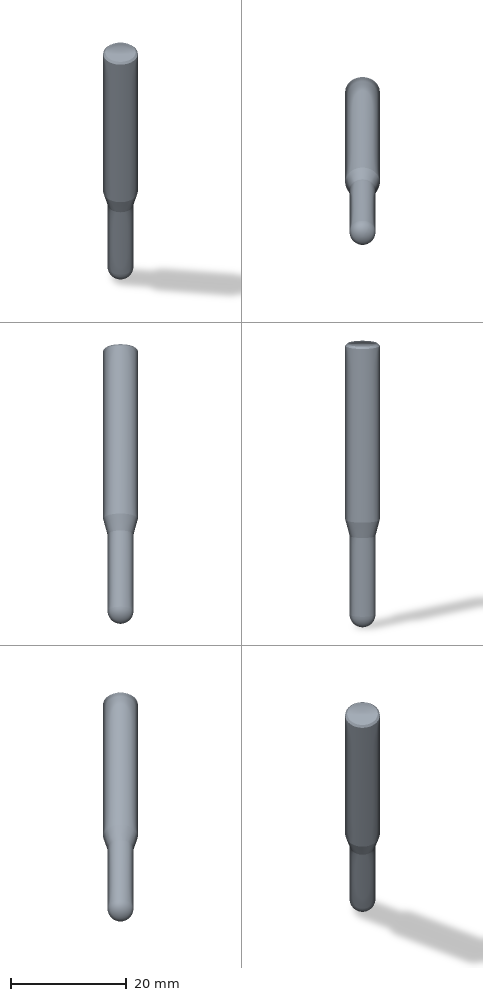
import cadquery as cq

total_length = 50.0
shank_diameter = 6.0
head_diameter = 4.5
head_length = 16.0
land_height = 0.15
taper_height = 2.85
end_chamfer = 0.35

shank_radius = shank_diameter / 2
head_radius = head_diameter / 2
taper_bottom = head_length + land_height
taper_top = taper_bottom + taper_height


def make_head():
    """Straight cylinder with a hemispherical tip at the bottom."""
    ball_height = head_radius
    ball_mid_radius = head_radius * 0.5**0.5
    return (
        cq.Workplane("XZ")
        .moveTo(0, 0)
        .threePointArc((ball_mid_radius, ball_height - ball_mid_radius), (head_radius, ball_height))
        .lineTo(head_radius, head_length)
        .lineTo(0, head_length)
        .close()
        .revolve(360, (0, 0), (0, 1))
    )


def make_shank():
    """Round shank that tapers down to a short land at the head and has a chamfered top end."""
    return (
        cq.Workplane("XZ")
        .moveTo(0, head_length)
        .lineTo(head_radius, head_length)
        .lineTo(head_radius, taper_bottom)
        .lineTo(shank_radius, taper_top)
        .lineTo(shank_radius, total_length)
        .lineTo(0, total_length)
        .close()
        .revolve(360, (0, 0), (0, 1))
        .faces(">Z")
        .chamfer(end_chamfer)
    )


head = make_head()
shank = make_shank()

result = cq.Compound.makeCompound([head.val(), shank.val()])